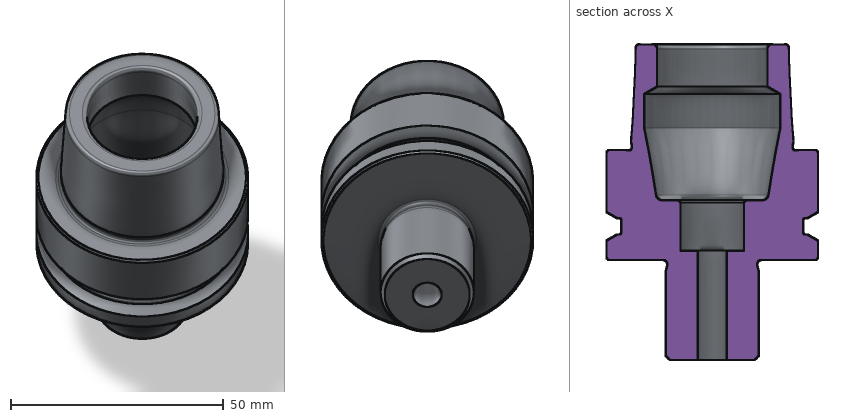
import cadquery as cq
import math


total_height = 74.5
taper_length = 24.95
flange_height = 26.0
flange_top = total_height - taper_length
flange_bottom = flange_top - flange_height

taper_base_radius = 19.2
taper_base_rise = 1.85
taper_slope = 0.05
taper_tip_round = 1.0
neck_radius = 38.0 / 2
neck_run_out = 0.75

recess_round = 0.75
recess_depth = 0.1
recess_edge_radius = 20.4

flange_radius = 50.0 / 2
flange_chamfer = 0.5
groove_rise = 8.0
groove_center = flange_bottom + groove_rise
groove_mouth_width = 6.7
groove_floor_width = 3.8
groove_floor_radius = 43.0 / 2
groove_corner_round = 0.5
groove_wall_angle = math.radians(30)

shank_radius = 22.0 / 2
shank_neck_radius = 21.3 / 2
shank_neck_round = 1.0
shank_neck_land = 0.2
shank_neck_run_out = 1.4
shank_chamfer = 1.0

bore_radius = 26.0 / 2
bore_mouth_round = 1.1
bore_floor_round = 1.5
bore_floor_radius = 11.8
clamp_radius = 32.0 / 2
clamp_edge_depth = 10.05
clamp_wall_end_depth = 19.8
clamp_shoulder_angle = math.radians(30)
clamp_run_out_angle = math.radians(10)

run_out_radius = bore_floor_radius + bore_floor_round * math.cos(clamp_run_out_angle)
run_out_length = (clamp_radius - run_out_radius) / math.tan(clamp_run_out_angle)
run_out_z = total_height - clamp_wall_end_depth - run_out_length
bore_floor_z = run_out_z - bore_floor_round * (1 - math.sin(clamp_run_out_angle))

socket_radius = 14.9 / 2
socket_chamfer = 0.5
socket_depth = 11.9
through_radius = 6.8 / 2


def revolve_profile(profile):
    """Turn a closed radius-height outline about the Z axis."""
    return profile.close().revolve(360, (0, 0, 0), (0, 1, 0))


def taper_body():
    """Taper, neck and the part of the flange inside the face recess."""
    base_z = flange_top + taper_base_rise
    tip_radius = taper_base_radius - taper_slope * (total_height - base_z)
    recess_z = flange_top - recess_depth
    body = revolve_profile(
        cq.Workplane("XZ")
        .moveTo(0, groove_center)
        .lineTo(recess_edge_radius, groove_center)
        .lineTo(recess_edge_radius, flange_top)
        .lineTo(neck_radius + recess_round, recess_z)
        .radiusArc((neck_radius, recess_z + recess_round), recess_round)
        .lineTo(neck_radius, base_z - neck_run_out)
        .lineTo(taper_base_radius, base_z)
        .lineTo(tip_radius, total_height)
        .lineTo(0, total_height)
    )
    return body.faces(">Z").edges().fillet(taper_tip_round)


def flange():
    """Flange disk, hollow above the groove center where the taper body sits."""
    disk = (
        cq.Workplane("XY", origin=(0, 0, flange_bottom))
        .circle(flange_radius)
        .extrude(flange_height)
        .edges()
        .chamfer(flange_chamfer)
    )
    seat = (
        cq.Workplane("XY", origin=(0, 0, groove_center))
        .circle(recess_edge_radius)
        .extrude(flange_top - groove_center)
    )
    return disk.cut(seat).cut(gripper_groove())


def gripper_groove():
    """Ring cutter: sloped walls leading to a flat-sided, round-cornered floor."""
    half_mouth = groove_mouth_width / 2
    half_floor = groove_floor_width / 2
    step_radius = flange_radius - (half_mouth - half_floor) / math.tan(groove_wall_angle)
    corner_radius = groove_floor_radius + groove_corner_round
    half_flat = half_floor - groove_corner_round
    return revolve_profile(
        cq.Workplane("XZ", origin=(0, 0, groove_center))
        .moveTo(flange_radius, half_mouth)
        .lineTo(step_radius, half_floor)
        .lineTo(corner_radius, half_floor)
        .radiusArc((groove_floor_radius, half_flat), -groove_corner_round)
        .lineTo(groove_floor_radius, -half_flat)
        .radiusArc((corner_radius, -half_floor), -groove_corner_round)
        .lineTo(step_radius, -half_floor)
        .lineTo(flange_radius, -half_mouth)
    )


def shank():
    """Chamfered shank with a slightly slimmer neck rounded into the flange."""
    land_top = flange_bottom - shank_neck_round
    land_bottom = land_top - shank_neck_land
    return revolve_profile(
        cq.Workplane("XZ")
        .moveTo(0, 0)
        .lineTo(shank_radius - shank_chamfer, 0)
        .lineTo(shank_radius, shank_chamfer)
        .lineTo(shank_radius, land_bottom - shank_neck_run_out)
        .lineTo(shank_neck_radius, land_bottom)
        .lineTo(shank_neck_radius, land_top)
        .radiusArc((shank_neck_radius + shank_neck_round, flange_bottom), shank_neck_round)
        .lineTo(0, flange_bottom)
    )


def clamping_bore():
    """Round-mouthed bore with a wider chamber that narrows to a round-cornered floor."""
    widening = clamp_radius - bore_radius
    edge_z = total_height - clamp_edge_depth
    shoulder_z = edge_z - widening * math.tan(clamp_shoulder_angle)
    wall_end_z = total_height - clamp_wall_end_depth
    return revolve_profile(
        cq.Workplane("XZ")
        .moveTo(0, total_height)
        .lineTo(bore_radius + bore_mouth_round, total_height)
        .radiusArc((bore_radius, total_height - bore_mouth_round), -bore_mouth_round)
        .lineTo(bore_radius, edge_z)
        .lineTo(clamp_radius, shoulder_z)
        .lineTo(clamp_radius, wall_end_z)
        .lineTo(run_out_radius, run_out_z)
        .radiusArc((bore_floor_radius, bore_floor_z), bore_floor_round)
        .lineTo(0, bore_floor_z)
    )


def center_hole():
    """Chamfered socket in the bore floor, then a small hole through the shank."""
    socket_z = bore_floor_z - socket_depth
    return revolve_profile(
        cq.Workplane("XZ")
        .moveTo(0, bore_floor_z)
        .lineTo(socket_radius + socket_chamfer, bore_floor_z)
        .lineTo(socket_radius, bore_floor_z - socket_chamfer)
        .lineTo(socket_radius, socket_z)
        .lineTo(through_radius, socket_z)
        .lineTo(through_radius, 0)
        .lineTo(0, 0)
    )


holder = flange().union(taper_body()).union(shank())
result = holder.cut(clamping_bore()).cut(center_hole())